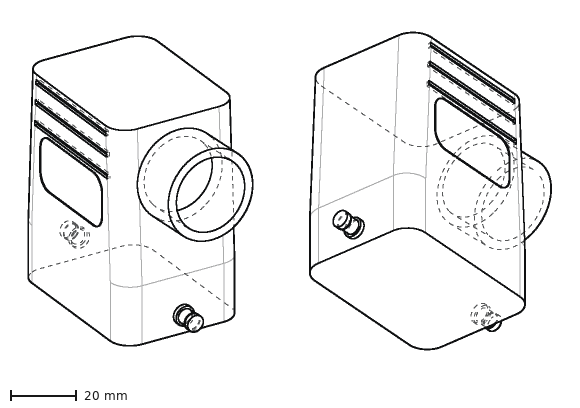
import math

import cadquery as cq

body_length = 59.8
body_width = 43.0
body_height = 72.0
skirt_height = 20.0
corner_radius = 7.0
side_slope = 3.0
slope_tangent = math.tan(math.radians(side_slope))

spout_diameter = 30.0
spout_bore_diameter = 24.24
spout_mouth_x = 46.185
spout_mouth_z = 54.05
spout_length = 19.0
spout_embedment = 3.0

pin_height = 6.45
pin_length = 7.5
pin_neck_diameter = 4.9
pin_head_diameter = 5.5
pin_head_length = 2.0
pin_collar_diameter = 6.5
pin_collar_length = 1.5
pin_embedment = 1.0

groove_tops = (70.0, 63.0, 55.8)
groove_height = 1.45
groove_depth = 1.0

panel_length = 36.0
panel_height = 18.0
panel_top = 53.0
panel_radius = 5.0
panel_depth = 0.3


def half_length_at(z):
    """Half of the body length at height z above the skirt."""
    return body_length / 2 - (z - skirt_height) * slope_tangent


def make_body():
    half_bottom = body_length / 2
    half_top = half_length_at(body_height)
    profile = [
        (-half_bottom, 0),
        (half_bottom, 0),
        (half_bottom, skirt_height),
        (half_top, body_height),
        (-half_top, body_height),
        (-half_bottom, skirt_height),
    ]
    block = cq.Workplane("XZ").polyline(profile).close().extrude(body_width / 2, both=True)
    return block.edges("not (|X or |Y)").fillet(corner_radius)


def spout_cylinder(diameter, length):
    """Cylinder running inwards from the spout mouth along the spout axis."""
    slope = math.radians(side_slope)
    mouth = cq.Vector(spout_mouth_x, 0, spout_mouth_z)
    inward = cq.Vector(-math.cos(slope), 0, -math.sin(slope))
    return cq.Workplane(obj=cq.Solid.makeCylinder(diameter / 2, length, mouth, inward))


def pin_section(diameter, start, end):
    """Round pin section between two distances from the +X skirt wall."""
    plane = cq.Workplane("YZ", origin=(body_length / 2 + start, 0, pin_height))
    return plane.circle(diameter / 2).extrude(end - start)


def make_pin():
    neck = pin_section(pin_neck_diameter, -pin_embedment, pin_length)
    collar = pin_section(pin_collar_diameter, -pin_embedment, pin_collar_length)
    head = pin_section(pin_head_diameter, pin_length - pin_head_length, pin_length)
    return neck.union(collar).union(head)


def make_groove(top):
    """Groove ending on both sides at the start of the rounded corners."""
    bottom = top - groove_height
    half_top = half_length_at(top) - corner_radius
    half_bottom = half_length_at(bottom) - corner_radius
    outline = [(-half_bottom, bottom), (half_bottom, bottom), (half_top, top), (-half_top, top)]
    wall = cq.Workplane("XZ", origin=(0, -body_width / 2, 0))
    return wall.polyline(outline).close().extrude(-groove_depth)


def make_panel():
    wall = cq.Workplane("XZ", origin=(0, -body_width / 2, panel_top - panel_height / 2))
    panel = wall.rect(panel_length, panel_height).extrude(-panel_depth)
    return panel.edges("|Y").fillet(panel_radius)


result = make_body()
result = result.union(spout_cylinder(spout_diameter, spout_length + spout_embedment))
result = result.cut(spout_cylinder(spout_bore_diameter, spout_length))

pin = make_pin()
result = result.union(pin).union(pin.mirror("YZ"))

for groove_top in groove_tops:
    result = result.cut(make_groove(groove_top))
result = result.cut(make_panel())